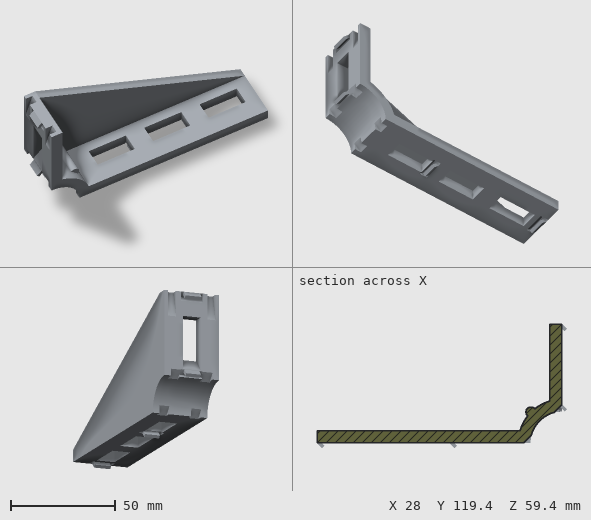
import cadquery as cq
import math


width = 28.0
base_length = 117.0
wall_height = 57.0
wall = 6.0
side_thickness = 4.4
corner_radius = 15.0
shell_radius = corner_radius + wall
shell_end = math.sqrt(shell_radius**2 - wall**2)
mid_x = width / 2
diagonal = math.cos(math.radians(45))

bar_radius = 2.5
bar_end = 23.5

window_width = 9.1
base_window_length = 20.0
base_window_pitch = 30.0
base_window_count = 3
wall_window_top = 45.0
wall_window_sill = 0.2

tab_reach = 2.4
tab_thickness = 1.7
groove_width = 11.3
groove_opening = 4.4
end_tab_width = 8.4
middle_tab_width = 7.6
wall_middle_tab = 18.6
base_middle_tab = 53.7

taper_width = 4.0
taper_depth = 3.6
taper_height = 12.5
taper_margin = 1.9

corner_cut_width = 5.0
corner_cut_margin = 3.3
corner_cut_leg = 18.4


def prism(points, x_start, x_end):
    """Extrude a closed (y, z) outline from x_start to x_end."""
    outline = cq.Workplane("YZ").workplane(offset=x_start).polyline(points).close()
    return outline.extrude(x_end - x_start)


def centred_prism(points, prism_width):
    return prism(points, mid_x - prism_width / 2, mid_x + prism_width / 2)


def rod(radius, y, z, x_end):
    """Solid cylinder along X, starting at X = 0."""
    return cq.Workplane("YZ").center(y, z).circle(radius).extrude(x_end)


def mirrored_pair(margin, feature_width):
    """X ranges of two equal features, one at each side of the width."""
    return [
        (margin, margin + feature_width),
        (width - margin - feature_width, width - margin),
    ]


def body():
    base = cq.Workplane("XY").box(width, base_length, wall, centered=False)
    front_wall = cq.Workplane("XY").box(width, wall, wall_height, centered=False)
    side_outline = [(0, 0), (base_length, 0), (base_length, wall), (wall, wall_height), (0, wall_height)]
    side_plate = prism(side_outline, 0, side_thickness)
    corner_block = cq.Workplane("XY").box(width, shell_end, shell_end, centered=False)
    shell = rod(shell_radius, 0, 0, width).intersect(corner_block)
    crown = shell_radius * diagonal
    bar = rod(bar_radius, crown, crown, bar_end)
    relief = rod(corner_radius, 0, 0, width)
    return base.union(front_wall).union(side_plate).union(shell).union(bar).cut(relief)


def base_windows():
    windows = cq.Workplane("XY")
    for index in range(1, base_window_count + 1):
        start = index * base_window_pitch
        end = start + base_window_length
        outline = [(start, 0), (end, 0), (end, wall), (start, wall)]
        windows = windows.add(centred_prism(outline, window_width))
    return windows.combine()


def wall_window():
    """Window whose floor rises inward at 45 degrees, just above the middle tab."""
    floor = wall_middle_tab + wall_window_sill
    outline = [(0, floor), (wall, floor + wall), (wall, wall_window_top), (0, wall_window_top)]
    return centred_prism(outline, window_width)


def on_wall(points, height):
    """Place (outward, down) points on the front wall, starting at the given height."""
    return [(-outward, height - down) for outward, down in points]


def on_base(points, distance):
    """Place (outward, toward the wall) points under the base, starting at the given distance."""
    return [(distance - along, -outward) for outward, along in points]


def groove_points():
    half = groove_opening / 2
    return [(0, 0), (-half, half), (0, groove_opening)]


def tab_points():
    step = tab_thickness * diagonal
    return [(0, 0), (tab_reach, tab_reach), (tab_reach - step, tab_reach + step), (-step, step)]


def taper_notch(x_start, x_end):
    outline = [(0, wall_height), (taper_depth, wall_height), (0, wall_height - taper_height)]
    return prism(outline, x_start, x_end)


def corner_cut(x_start, x_end):
    return prism([(0, 0), (corner_cut_leg, 0), (0, corner_cut_leg)], x_start, x_end)


tabs = [
    (on_wall, wall_height, end_tab_width),
    (on_wall, wall_middle_tab, middle_tab_width),
    (on_base, base_length, end_tab_width),
    (on_base, base_middle_tab, middle_tab_width),
]

result = body().cut(base_windows()).cut(wall_window())

for x_start, x_end in mirrored_pair(taper_margin, taper_width):
    result = result.cut(taper_notch(x_start, x_end))

for x_start, x_end in mirrored_pair(corner_cut_margin, corner_cut_width):
    result = result.cut(corner_cut(x_start, x_end))

for place, position, tab_width in tabs:
    groove = centred_prism(place(groove_points(), position), groove_width)
    tab = centred_prism(place(tab_points(), position), tab_width)
    result = result.cut(groove).union(tab)